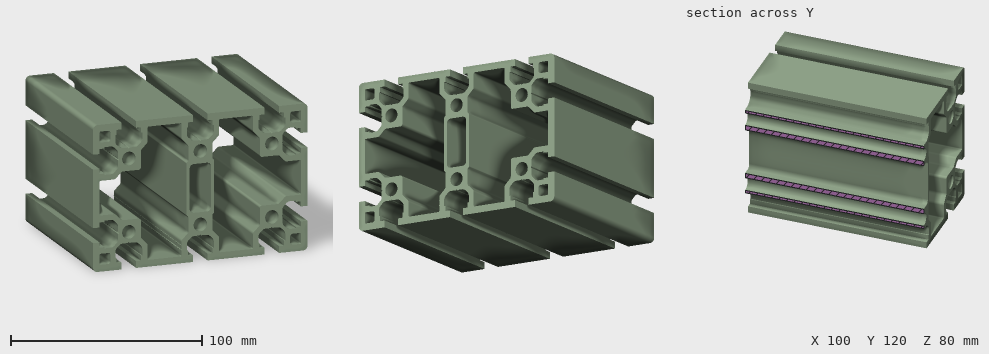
import cadquery as cq


width = 120.0
cells_wide = 3
cells_high = 2
length_in_cells = 2.5
outer_radius = 2.5
wall = 3.7

mouth_width = 8.2
neck_width = 13.7
slot_width = 15.1
neck_depth = 6.5
slot_depth = 14.0
slot_bevel = 3.0
slot_radius = 2.9
groove_width = 1.0
groove_depth = 0.5

bore_diameter = 7.5
core_half = 6.7
shell_half = 10.5
slope_start = 7.7
slope_radius = 1.8
core_radius = 1.2
pocket_radius = 0.6

web_half = 7.8
web_step_drop = 5.8
web_outer_radius = 0.6
web_inner_radius = 1.2
web_window_width = 11.9
web_window_radius = 2.3

corner_window = 6.0
corner_window_radius = 1.3
corner_window_outer_radius = 0.6

ridges = [(0.4, 7.2), (0.18, 9.7)]

cell = width / cells_wide
height = cells_high * cell
length = length_in_cells * cell
bore_y = (cells_wide - 1) / 2 * cell
bore_z = (cells_high - 1) / 2 * cell
slope_end = slope_start - (shell_half - core_half)
web_step_z = bore_z - web_step_drop
column_ys = [-bore_y, 0, bore_y]
row_zs = [-bore_z, bore_z]


def section_plane():
    return cq.Workplane("YZ", origin=(-length / 2, 0, 0))


def outer_block():
    return section_plane().rect(width, height).extrude(length).edges("|X").fillet(outer_radius)


def mirrored_outline(half_outline):
    """Close a half outline with its reflection across the local Y axis."""
    return half_outline + [(-x, y) for x, y in reversed(half_outline)]


def round_edges(solid, points, radius):
    """Round the edges along X that pass through the given (y, z) points."""
    for y, z in points:
        nearest = cq.selectors.NearestToPointSelector((0, y, z))
        solid = solid.edges("|X").edges(nearest).fillet(radius)
    return solid


def slot_cutter():
    """T-slot that opens toward +Z, with its mouth at Z = 0."""
    half = slot_width / 2
    bevel_corners = [(half, slot_bevel - slot_depth), (half - slot_bevel, -slot_depth)]
    right_outline = [
        (mouth_width / 2, 0),
        (mouth_width / 2, -wall),
        (neck_width / 2, -wall),
        (neck_width / 2, -neck_depth),
        (half, -neck_depth),
        *bevel_corners,
    ]
    slot = section_plane().polyline(mirrored_outline(right_outline)).close().extrude(length)
    slot = round_edges(slot, mirrored_outline(bevel_corners), slot_radius)

    groove_outline = [(-groove_width / 2, 0), (groove_width / 2, 0), (0, -groove_depth)]
    groove = section_plane().polyline(groove_outline).close().extrude(length)
    return slot.union(groove.translate((0, 0, -slot_depth)))


def cut_slots(body):
    top_slot = slot_cutter().translate((0, 0, height / 2))
    side_slot = slot_cutter().rotate((0, 0, 0), (1, 0, 0), -90).translate((0, width / 2, 0))
    for y in column_ys:
        slot = top_slot.translate((0, y, 0))
        body = body.cut(slot).cut(slot.mirror("XY"))
    for z in row_zs:
        slot = side_slot.translate((0, 0, z))
        body = body.cut(slot).cut(slot.mirror("XZ"))
    return body


def with_lower_half(upper_points):
    """Add the reflection of the points across the Y axis, in reverse order."""
    return upper_points + [(y, -z) for y, z in reversed(upper_points)]


def large_pocket():
    """Through pocket on the +Y side, between the middle web and the end wall."""
    side_y = width / 2 - wall
    top_z = height / 2 - wall
    web_corners = [(web_half, web_step_z), (core_half, web_step_z + web_half - core_half)]
    slope_corners = [
        (core_half, bore_z + slope_end),
        (shell_half, bore_z + slope_start),
        (bore_y - shell_half, bore_z + slope_start),
        (bore_y - core_half, bore_z + slope_end),
        (bore_y + slope_end, bore_z - core_half),
        (bore_y + slope_start, bore_z - shell_half),
    ]
    core_corner = (bore_y - core_half, bore_z - core_half)
    pocket_corners = [(shell_half, top_z), (bore_y - shell_half, top_z), (side_y, bore_z - shell_half)]
    upper_outline = [
        *web_corners,
        *slope_corners[:2],
        *pocket_corners[:2],
        *slope_corners[2:4],
        core_corner,
        *slope_corners[4:],
        pocket_corners[2],
    ]
    pocket = section_plane().polyline(with_lower_half(upper_outline)).close().extrude(length)
    pocket = round_edges(pocket, with_lower_half(web_corners[:1]), web_outer_radius)
    pocket = round_edges(pocket, with_lower_half(web_corners[1:]), web_inner_radius)
    pocket = round_edges(pocket, with_lower_half(slope_corners), slope_radius)
    pocket = round_edges(pocket, with_lower_half([core_corner]), core_radius)
    return round_edges(pocket, with_lower_half(pocket_corners), pocket_radius)


def marking_ridge(size, z):
    """Small V ridge on the lower slot wall inside the -Y pocket."""
    ridge_outline = [(0, -size), (0, size), (-size, 0)]
    ridge = section_plane().polyline(ridge_outline).close().extrude(length)
    return ridge.translate((0, -shell_half, z))


def web_window():
    window_height = 2 * (bore_z - core_half)
    window = section_plane().rect(web_window_width, window_height).extrude(length)
    return window.edges("|X").fillet(web_window_radius)


def corner_window_cutter():
    """Window in the +Y +Z corner; its outer edges are rounded less."""
    inset = wall + corner_window / 2
    window = (
        section_plane()
        .center(width / 2 - inset, height / 2 - inset)
        .rect(corner_window, corner_window)
        .extrude(length)
    )
    window = window.edges("|X and <Y").fillet(corner_window_radius)
    return window.edges("|X and >Y").fillet(corner_window_outer_radius)


def bores():
    centers = [(y, z) for y in column_ys for z in row_zs]
    return section_plane().pushPoints(centers).circle(bore_diameter / 2).extrude(length)


result = cut_slots(outer_block()).cut(bores()).cut(web_window())

pocket = large_pocket()
result = result.cut(pocket).cut(pocket.mirror("XZ"))

right_window = corner_window_cutter()
left_window = right_window.mirror("XZ")
for window in (right_window, left_window):
    result = result.cut(window).cut(window.mirror("XY"))

for size, elevation in ridges:
    result = result.union(marking_ridge(size, elevation - height / 2))